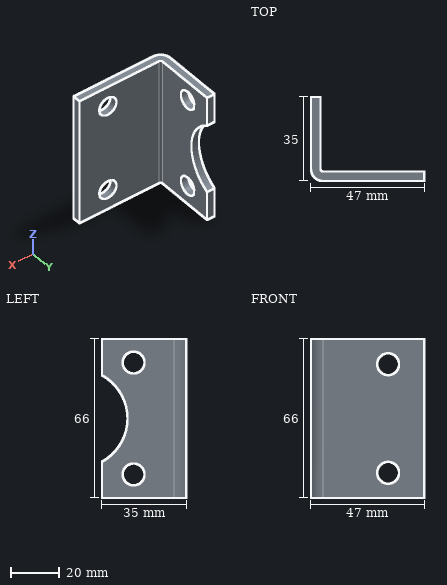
import cadquery as cq

width = 47.0
depth = 35.0
height = 66.0
thickness = 4.0

inner_bend_radius = 1.0
outer_bend_radius = inner_bend_radius + thickness

hole_diameter = 9.0
front_hole_x = 32.0
front_hole_spacing = 45.0
side_hole_y = depth - 13.15
side_hole_spacing = 46.4

notch_radius = 20.45
notch_depth = 10.55
notch_center_y = depth + notch_radius - notch_depth

mid_height = height / 2


def bent_sheet():
    """L-shaped sheet with its outer faces on the planes X = 0 and Y = 0."""
    outline = (
        cq.Workplane("XY")
        .polyline([
            (0, 0),
            (width, 0),
            (width, thickness),
            (thickness, thickness),
            (thickness, depth),
            (0, depth),
        ])
        .close()
    )
    sheet = outline.extrude(height)
    sheet = sheet.edges(cq.selectors.NearestToPointSelector((0, 0, mid_height))).fillet(outer_bend_radius)
    inner_corner = cq.selectors.NearestToPointSelector((thickness, thickness, mid_height))
    return sheet.edges(inner_corner).fillet(inner_bend_radius)


def cutter_along_x(diameter, y, z):
    """Cylinder through the side flange."""
    return cq.Workplane("YZ").center(y, z).circle(diameter / 2).extrude(thickness)


def cutter_along_y(diameter, x, z):
    """Cylinder through the front flange."""
    return cq.Workplane("XZ").center(x, z).circle(diameter / 2).extrude(-thickness)


result = bent_sheet()

for side in (-1, 1):
    front_hole_z = mid_height + side * front_hole_spacing / 2
    side_hole_z = mid_height + side * side_hole_spacing / 2
    result = result.cut(cutter_along_y(hole_diameter, front_hole_x, front_hole_z))
    result = result.cut(cutter_along_x(hole_diameter, side_hole_y, side_hole_z))

result = result.cut(cutter_along_x(2 * notch_radius, notch_center_y, mid_height))